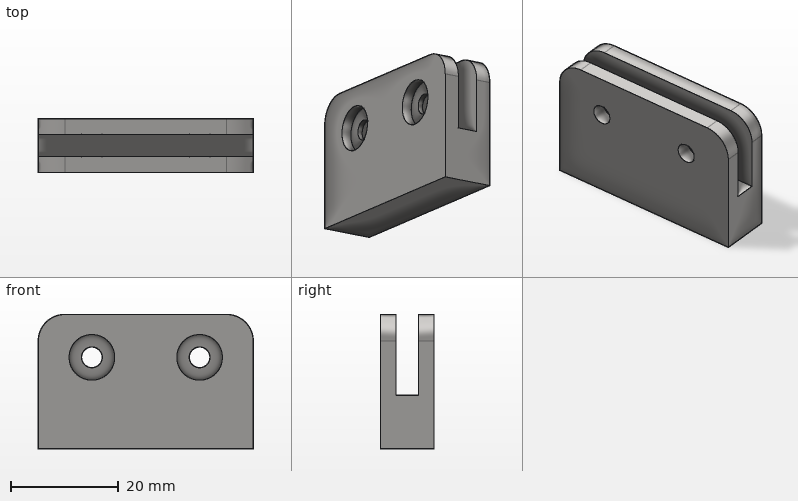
import cadquery as cq

length = 40.0
thickness = 10.0
height = 25.0
corner_radius = 5.0

slot_width = 4.1
slot_depth = 15.0

hole_diameter = 3.8
counterbore_diameter = 8.5
counterbore_depth = 2.0
hole_spacing = length / 2
hole_drop = 8.0

front_face = -thickness / 2


def make_block():
    block = cq.Workplane("XY").box(length, thickness, height, centered=(True, True, False))
    return block.edges("|Y and >Z").fillet(corner_radius)


def make_slot():
    slot = cq.Workplane("XY").box(length, slot_width, slot_depth, centered=(True, True, False))
    return slot.translate((0, 0, height - slot_depth))


def make_bore(x, diameter, depth):
    """Cylinder running from the front face toward +Y on a hole axis."""
    start = cq.Vector(x, front_face, height - hole_drop)
    return cq.Solid.makeCylinder(diameter / 2, depth, start, cq.Vector(0, 1, 0))


result = make_block().cut(make_slot())
for hole_x in (-hole_spacing / 2, hole_spacing / 2):
    result = result.cut(make_bore(hole_x, hole_diameter, thickness))
    result = result.cut(make_bore(hole_x, counterbore_diameter, counterbore_depth))